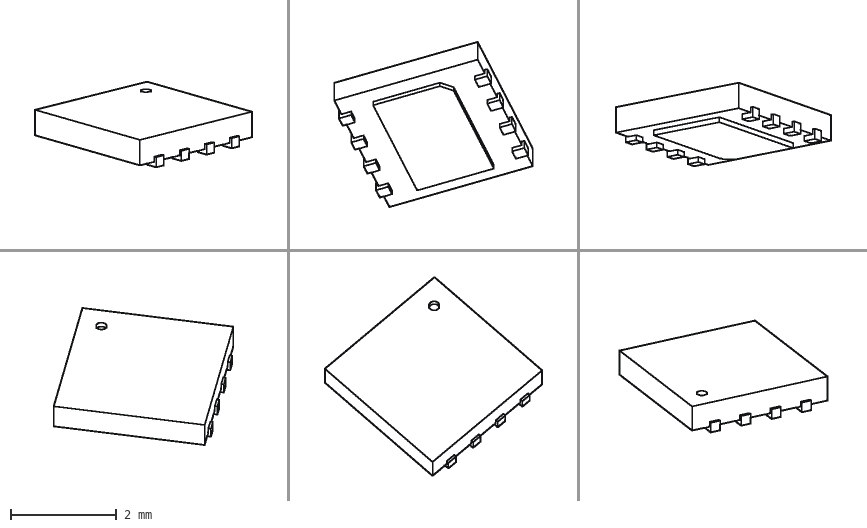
import cadquery as cq

overall_length = 3.0
body_side = 2.9
overall_height = 0.6
standoff = 0.1
body_height = overall_height - standoff

leads_per_side = 4
lead_pitch = 0.65
lead_width = 0.2
lead_length = 0.25
lead_height = 0.2

pad_length = 1.55
pad_width = 2.32
pad_chamfer = 0.2

dimple_diameter = 0.2
dimple_depth = 0.1
dimple_offset = 1.0


def block(length, width, height, center_x=0, center_y=0, bottom=0):
    """Box centred in X and Y on the given point and standing on the given level."""
    box = cq.Workplane("XY").box(length, width, height, centered=(True, True, False))
    return box.translate((center_x, center_y, bottom))


def add_leads(part):
    lead_center_x = (overall_length - lead_length) / 2
    first_lead_y = -lead_pitch * (leads_per_side - 1) / 2
    for side in (-1, 1):
        for index in range(leads_per_side):
            lead_y = first_lead_y + index * lead_pitch
            lead = block(lead_length, lead_width, lead_height, side * lead_center_x, lead_y)
            part = part.union(lead)
    return part


def cut_pin_one_dimple(part):
    dimple = (
        cq.Workplane("XY", origin=(-dimple_offset, dimple_offset, overall_height))
        .circle(dimple_diameter / 2)
        .extrude(-dimple_depth)
    )
    return part.cut(dimple)


body = block(body_side, body_side, body_height, bottom=standoff)
thermal_pad = block(pad_length, pad_width, standoff).edges("|Z").edges("<(1, -1, 0)").chamfer(pad_chamfer)
result = cut_pin_one_dimple(add_leads(body.union(thermal_pad)))